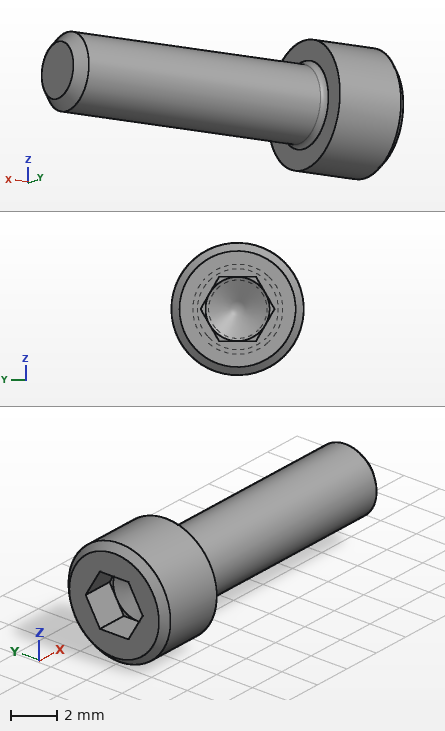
import cadquery as cq
import math

total_length = 16.21
head_length = 3.5
head_diameter = 5.74
head_chamfer = 0.35
shank_diameter = 3.5
tip_chamfer = 0.49
neck_length = 0.29
neck_height = 0.2

socket_flats = 2.77
socket_depth = 1.62
drill_point_angle = 120.0

head_radius = head_diameter / 2
shank_radius = shank_diameter / 2
shank_length = total_length - head_length
socket_radius = socket_flats / 2


def make_body():
    """Revolve the head, concave neck fillet and chamfered shank about X."""
    fillet_radius = (neck_length**2 + neck_height**2) / (2 * neck_height)
    half_sweep = math.asin(neck_length / fillet_radius) / 2
    neck_middle = (
        neck_length - fillet_radius * math.sin(half_sweep),
        shank_radius + fillet_radius * (1 - math.cos(half_sweep)),
    )
    return (
        cq.Workplane("XY")
        .moveTo(-head_length, 0)
        .lineTo(-head_length, head_radius - head_chamfer)
        .lineTo(-head_length + head_chamfer, head_radius)
        .lineTo(0, head_radius)
        .lineTo(0, shank_radius + neck_height)
        .threePointArc(neck_middle, (neck_length, shank_radius))
        .lineTo(shank_length - tip_chamfer, shank_radius)
        .lineTo(shank_length, shank_radius - tip_chamfer)
        .lineTo(shank_length, 0)
        .close()
        .revolve(360, (0, 0, 0), (1, 0, 0))
    )


def make_socket():
    """Hexagonal prism, flats facing Z, ending in a cone as wide as the flats."""
    corner_diameter = socket_flats / math.cos(math.pi / 6)
    prism = (
        cq.Workplane("YZ", origin=(-head_length, 0, 0))
        .polygon(6, corner_diameter)
        .extrude(socket_depth)
    )
    socket_floor = -head_length + socket_depth
    cone_depth = socket_radius / math.tan(math.radians(drill_point_angle / 2))
    cone = (
        cq.Workplane("XY")
        .moveTo(socket_floor, 0)
        .lineTo(socket_floor, socket_radius)
        .lineTo(socket_floor + cone_depth, 0)
        .close()
        .revolve(360, (0, 0, 0), (1, 0, 0))
    )
    return prism.union(cone)


result = make_body().cut(make_socket())